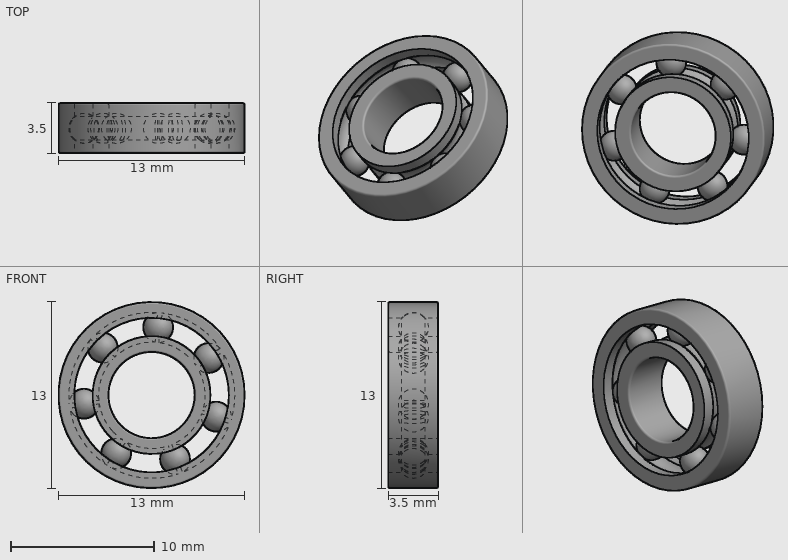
import cadquery as cq
import math

OUTER_DIAMETER = 13.0
BORE_DIAMETER = 6.0
WIDTH = 3.5
OUTER_RING_INNER_DIAMETER = 10.77
INNER_RING_OUTER_DIAMETER = 8.23
CORNER_RADIUS = 0.15

BALL_COUNT = 7
BALL_DIAMETER = 2.1
BALL_EMBED = 0.01
FIRST_BALL_ANGLE = -math.degrees(math.atan2(1, 3))

PITCH_RADIUS = (OUTER_RING_INNER_DIAMETER + INNER_RING_OUTER_DIAMETER) / 4
RACEWAY_RADIUS = BALL_DIAMETER / 2 - BALL_EMBED
AXIS_START = (0, 0, 0)
AXIS_END = (0, 1, 0)


def turn_about_y(body, angle):
    """Turn a body about the bearing axis, positive from +X towards +Z."""
    return body.rotate(AXIS_START, AXIS_END, -angle)


def plain_ring(outer_diameter, inner_diameter):
    """Square-cornered ring centred on the origin."""
    return (
        cq.Workplane("XZ", origin=(0, WIDTH / 2, 0))
        .circle(outer_diameter / 2)
        .circle(inner_diameter / 2)
        .extrude(WIDTH)
    )


def raceway():
    """Torus that cuts the ball groove in both rings."""
    return (
        cq.Workplane("XY")
        .center(PITCH_RADIUS, 0)
        .circle(RACEWAY_RADIUS)
        .revolve(360, (-PITCH_RADIUS, 0), (-PITCH_RADIUS, 1))
    )


def outer_ring():
    """Outer ring, rounded on its two outside rims."""
    ring = plain_ring(OUTER_DIAMETER, OUTER_RING_INNER_DIAMETER)
    outside_rims = cq.selectors.RadiusNthSelector(-1)
    return ring.edges(outside_rims).fillet(CORNER_RADIUS).cut(raceway())


def inner_ring():
    """Inner ring, rounded on its two bore rims."""
    ring = plain_ring(INNER_RING_OUTER_DIAMETER, BORE_DIAMETER)
    bore_rims = cq.selectors.RadiusNthSelector(0)
    return ring.edges(bore_rims).fillet(CORNER_RADIUS).cut(raceway())


def ball(index):
    """One ball, spaced evenly with the others around the pitch circle."""
    sphere = cq.Workplane("XY").sphere(BALL_DIAMETER / 2).translate((PITCH_RADIUS, 0, 0))
    return turn_about_y(sphere, FIRST_BALL_ANGLE + index * 360 / BALL_COUNT)


result = outer_ring().union(inner_ring())
for ball_index in range(BALL_COUNT):
    result = result.union(ball(ball_index))